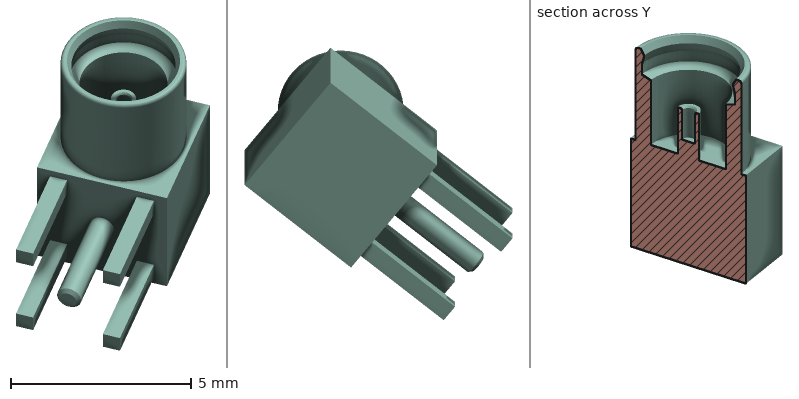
import cadquery as cq

BODY_WIDTH = 3.8
BODY_HEIGHT = 3.5

BARREL_RADIUS = 1.75
BARREL_HEIGHT = 3.0
RIM_FILLET = 0.1
RIM_Z = BODY_HEIGHT + BARREL_HEIGHT

MOUTH_RADIUS = 1.57
THROAT_RADIUS = 1.45
GROOVE_RADIUS = 1.52
BORE_RADIUS = 1.225
THROAT_DEPTH = 0.2
GROOVE_TOP_DEPTH = 0.48
GROOVE_BOTTOM_DEPTH = 0.82
BORE_TOP_DEPTH = 0.92
SOCKET_FLOOR_Z = BODY_HEIGHT

CONTACT_RADIUS = 0.35
CONTACT_LENGTH = 1.5
CONTACT_HOLE_RADIUS = 0.2
CONTACT_HOLE_DEPTH = 1.0
CONTACT_HOLE_CHAMFER = 0.05

TERMINAL_LENGTH = 3.0
GROUND_SIZE = 0.5
GROUND_PITCH = 2.54
SIGNAL_RADIUS = CONTACT_RADIUS
SIGNAL_CHAMFER = 0.1
TERMINAL_Z = BODY_HEIGHT / 2
FRONT_Y = -BODY_WIDTH / 2


def make_body():
    return cq.Workplane("XY").box(BODY_WIDTH, BODY_WIDTH, BODY_HEIGHT, centered=(True, True, False))


def make_barrel():
    barrel = cq.Workplane("XY", origin=(0, 0, BODY_HEIGHT)).circle(BARREL_RADIUS).extrude(BARREL_HEIGHT)
    return barrel.faces(">Z").edges().fillet(RIM_FILLET)


def make_socket_cavity():
    """Revolved cavity: tapered mouth, throat, snap groove and bore."""
    profile = [
        (0, RIM_Z),
        (MOUTH_RADIUS, RIM_Z),
        (THROAT_RADIUS, RIM_Z - THROAT_DEPTH),
        (GROOVE_RADIUS, RIM_Z - GROOVE_TOP_DEPTH),
        (GROOVE_RADIUS, RIM_Z - GROOVE_BOTTOM_DEPTH),
        (BORE_RADIUS, RIM_Z - BORE_TOP_DEPTH),
        (BORE_RADIUS, SOCKET_FLOOR_Z),
        (0, SOCKET_FLOOR_Z),
    ]
    return cq.Workplane("XZ").polyline(profile).close().revolve(360, (0, 0, 0), (0, 1, 0))


def make_contact():
    """Hollow centre contact rising from the socket floor."""
    floor = cq.Workplane("XY", origin=(0, 0, SOCKET_FLOOR_Z))
    contact = floor.circle(CONTACT_RADIUS).extrude(CONTACT_LENGTH)
    contact = contact.faces(">Z").workplane().hole(2 * CONTACT_HOLE_RADIUS, CONTACT_HOLE_DEPTH)
    hole_edge = contact.faces(">Z").edges(cq.selectors.RadiusNthSelector(0))
    return hole_edge.chamfer(CONTACT_HOLE_CHAMFER)


def make_ground_terminals():
    """Four square posts at the corners of a square pattern."""
    front = cq.Workplane("XZ", origin=(0, FRONT_Y, TERMINAL_Z))
    posts = front.rarray(GROUND_PITCH, GROUND_PITCH, 2, 2).rect(GROUND_SIZE, GROUND_SIZE)
    return posts.extrude(TERMINAL_LENGTH)


def make_signal_terminal():
    """Round post with a chamfered tip, in the middle of the ground posts."""
    post = cq.Workplane("XZ", origin=(0, FRONT_Y, TERMINAL_Z)).circle(SIGNAL_RADIUS).extrude(TERMINAL_LENGTH)
    return post.faces("<Y").edges().chamfer(SIGNAL_CHAMFER)


shell = make_body().union(make_barrel()).cut(make_socket_cavity())
result = shell.union(make_contact()).union(make_ground_terminals()).union(make_signal_terminal())